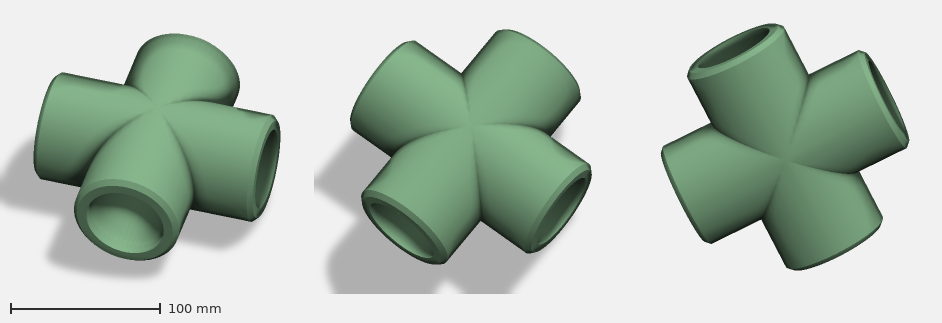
import cadquery as cq

length = 152.4
outer_diameter = 73.0
bore_diameter = 54.0
chamfer = 3.2

branch_planes = ("YZ", "XZ")


def centred_cylinder(plane, diameter):
    """Cylinder of the full part length, centred on the origin, normal to the plane."""
    return cq.Workplane(plane).circle(diameter / 2).extrude(length / 2, both=True)


def outer_pipe(plane):
    """Solid pipe body with the outer rim of each end chamfered."""
    body = centred_cylinder(plane, outer_diameter)
    return body.faces("<X or >X" if plane == "YZ" else "<Y or >Y").chamfer(chamfer)


result = outer_pipe(branch_planes[0]).union(outer_pipe(branch_planes[1]))
for plane in branch_planes:
    result = result.cut(centred_cylinder(plane, bore_diameter))